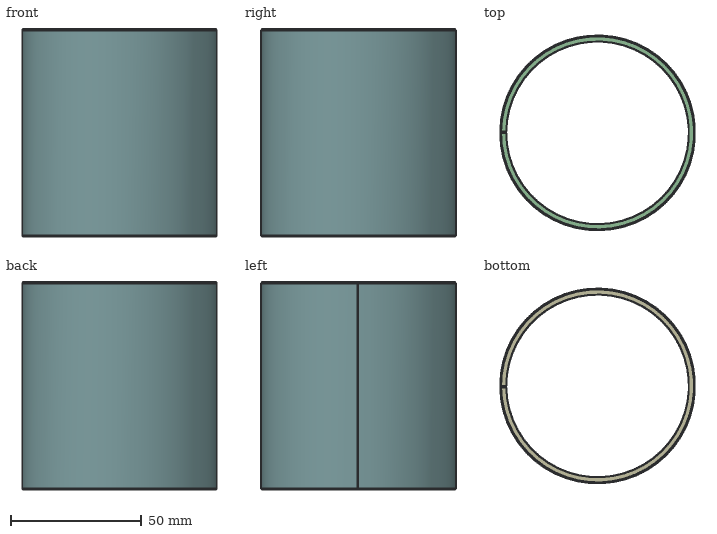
import cadquery as cq

length = 80.0
outer_diameter = 75.0
wall = 2.5
outer_chamfer_height = 0.6
outer_chamfer_depth = 0.5
inner_chamfer = 0.2
slit_width = 0.6

outer_radius = outer_diameter / 2
inner_radius = outer_radius - wall


def sleeve():
    """Revolve the wall section, chamfered at all four corners, about Z."""
    return (
        cq.Workplane("XZ")
        .moveTo(-inner_radius - inner_chamfer, 0)
        .lineTo(-outer_radius + outer_chamfer_depth, 0)
        .lineTo(-outer_radius, outer_chamfer_height)
        .lineTo(-outer_radius, length - outer_chamfer_height)
        .lineTo(-outer_radius + outer_chamfer_depth, length)
        .lineTo(-inner_radius - inner_chamfer, length)
        .lineTo(-inner_radius, length - inner_chamfer)
        .lineTo(-inner_radius, inner_chamfer)
        .close()
        .revolve(360, (0, 0), (0, 1))
    )


def slit():
    """Full-length cutter through the -X wall, with one side on the XZ plane."""
    return (
        cq.Workplane("XY")
        .box(outer_radius, slit_width, length, centered=False)
        .translate((-outer_radius, 0, 0))
    )


result = sleeve().cut(slit())